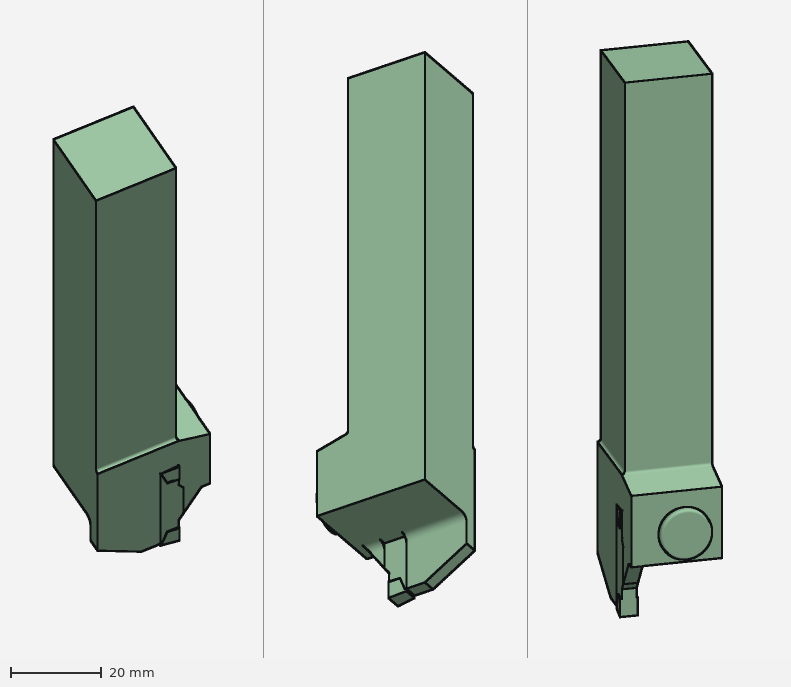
import cadquery as cq

total_height = 126.4
shank_side = 20.0

head_right = 20.7
head_depth = 28.0
head_bottom = 14.8
head_shoulder = 31.7
neck_height = 33.7
neck_radius = 0.8
side_step = head_right - shank_side

blade_left = 17.3
blade_front_bottom = 7.5
blade_bottom = 1.0
blade_slope_end = 10.9
blade_back_top = 25.9
root_radius = 1.9

insert_length = 25.3
insert_right = 21.1
insert_left = 17.0
insert_seat = 15.7
insert_back = 21.4
rake_face = 20.2
rake_length = 6.6
rake_ramp_end = 8.2
flank_rise = 0.4
tip_height = 4.3
tip_inner = 17.3
tip_heel = 16.0

screw_diameter = 11.9
screw_height = 2.0
screw_x = 8.6
screw_z = 21.9
screw_edge_radius = 0.6


def side_plate(points, left, right):
    """Extrude a closed YZ outline along X from left to right."""
    return cq.Workplane("YZ", origin=(left, 0, 0)).polyline(points).close().extrude(right - left)


def make_insert():
    middle = insert_length / 2
    lower_outline = [
        (insert_seat, middle),
        (insert_seat, flank_rise),
        (rake_face, 0),
        (rake_face, rake_length),
        (insert_back, rake_ramp_end),
        (insert_back, middle),
    ]
    lower_half = side_plate(lower_outline, blade_left, head_right)
    flank_slope = flank_rise / (rake_face - insert_seat)
    tip_outline = [
        (rake_face, 0),
        (rake_face, tip_height),
        (tip_inner, tip_height),
        (tip_heel, blade_bottom),
        (tip_heel, flank_slope * (rake_face - tip_heel)),
    ]
    taper_outline = [
        (insert_left, rake_face),
        (insert_right, rake_face),
        (head_right, tip_heel),
        (blade_left, tip_heel),
    ]
    taper = cq.Workplane("XY").polyline(taper_outline).close().extrude(tip_height)
    tip = side_plate(tip_outline, insert_left, insert_right).intersect(taper)
    lower_half = lower_half.union(tip)
    upper_half = lower_half.mirror("XY", (0, 0, middle))
    return lower_half.union(upper_half)


def make_shank_and_head():
    side_outline = [
        (0, head_bottom),
        (head_depth, head_bottom),
        (head_depth, head_shoulder),
        (shank_side, neck_height),
        (shank_side, total_height),
        (0, total_height),
    ]
    body = side_plate(side_outline, 0, head_right)
    neck_edge = cq.selectors.NearestToPointSelector((head_right / 2, shank_side, neck_height))
    body = body.edges("|X").edges(neck_edge).fillet(neck_radius)
    relief = (
        cq.Workplane("XZ")
        .moveTo(head_right, neck_height)
        .radiusArc((shank_side, neck_height + side_step), side_step)
        .lineTo(shank_side, total_height)
        .lineTo(head_right, total_height)
        .close()
        .extrude(-head_depth)
    )
    return body.cut(relief)


def make_blade():
    outline = [
        (0, head_bottom),
        (0, blade_front_bottom),
        (blade_slope_end, blade_bottom),
        (insert_seat, blade_bottom),
        (rake_face, rake_length),
        (blade_back_top, head_bottom),
    ]
    blade = side_plate(outline, blade_left, head_right)
    root_left = blade_left - root_radius
    root_bottom = head_bottom - root_radius
    root = (
        cq.Workplane("XZ")
        .moveTo(root_left, head_bottom)
        .lineTo(blade_left, head_bottom)
        .lineTo(blade_left, root_bottom)
        .radiusArc((root_left, head_bottom), -root_radius)
        .close()
        .extrude(-blade_back_top)
    )
    root = root.intersect(side_plate(outline, root_left, blade_left))
    opening = cq.Workplane("XY").box(
        root_radius, insert_back - insert_seat, root_radius, centered=False
    ).translate((root_left, insert_seat, root_bottom))
    return blade.union(root.cut(opening))


def make_screw_head():
    return (
        cq.Workplane("XZ", origin=(screw_x, head_depth, screw_z))
        .circle(screw_diameter / 2)
        .extrude(-screw_height)
        .faces(">Y")
        .edges()
        .fillet(screw_edge_radius)
    )


insert = make_insert()
holder = make_shank_and_head().union(make_blade()).union(make_screw_head()).cut(insert)

result = cq.Compound.makeCompound([*holder.solids().vals(), *insert.solids().vals()])